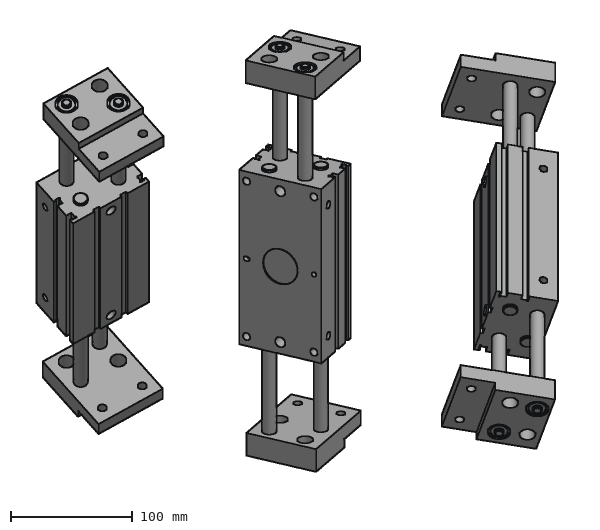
import cadquery as cq

OVERALL_HEIGHT = 366.0

HOUSING_DEPTH = 52.5
HOUSING_WIDTH = 76.0
HOUSING_HEIGHT = 160.0

SLOT_RAIL_START = 30.0
SLOT_RAIL_END = 42.5
SLOT_OPENING = 5.0
SLOT_LIP = 2.2
SLOT_UNDERCUT = 1.0
SLOT_SHALLOW_DEPTH = 5.0
SLOT_DEPTH = 6.2

BACK_GROOVE_PITCH = 27.0
BACK_GROOVE_WIDTH = 6.0
BACK_GROOVE_DEPTH = 2.2

ROD_DIAMETER = 12.0
ROD_NEAR_X = 12.5
ROD_PITCH_X = 23.5
ROD_PITCH_Y = 35.5
ROD_OFFSET_Y = 1.17
ROD_PROTRUSION = 2.2
ROD_CHAMFER = 0.55

PLATE_START_X = 1.0
PLATE_END_X = 81.0
PLATE_STEP_X = 51.5
PLATE_WIDTH = 64.5
PLATE_OFFSET_Y = 0.5
PLATE_THICKNESS = 21.0
FOOT_THICKNESS = 13.0
CLEARANCE_DIAMETER = 13.0
FOOT_HOLE_DIAMETER = 7.5
FOOT_HOLE_X = 68.8
FOOT_HOLE_PITCH = 40.0

COUNTERBORE_DIAMETER = 18.5
COUNTERBORE_DEPTH = 2.0
HEAD_DIAMETER = 14.5
HEAD_RECESS = 0.55
TIP_DIAMETER = 8.0
TIP_CHAMFER = 0.9
TIP_HEIGHT = 2.0

THROUGH_DIAMETER = 9.0
THROUGH_PITCH_Z = 138.5
CORNER_DIAMETER = 6.5
CORNER_DEPTH = 11.0
CORNER_PITCH_Y = 62.2
CORNER_PITCH_Z = 142.5
DOWEL_DIAMETER = 4.0
DOWEL_SLOT_LENGTH = 5.5
DOWEL_PITCH_Y = 62.2
DOWEL_DEPTH = 5.5
DISC_DIAMETER = 32.0
DISC_DEPTH = 1.0

PORT_DIAMETER = 6.5
PORT_DEPTH = 7.5
PORT_X = 12.5
PORT_PITCH_Z = 120.0

HALF_HEIGHT = HOUSING_HEIGHT / 2
HALF_WIDTH = HOUSING_WIDTH / 2
PLATE_TOP = OVERALL_HEIGHT / 2 - TIP_HEIGHT
PLATE_BOTTOM = PLATE_TOP - PLATE_THICKNESS
ROD_FAR_X = ROD_NEAR_X + ROD_PITCH_X
UPPER_RODS = [
    (ROD_NEAR_X, ROD_OFFSET_Y - ROD_PITCH_Y / 2),
    (ROD_FAR_X, ROD_OFFSET_Y + ROD_PITCH_Y / 2),
]
LOWER_RODS = [(x, -y) for x, y in UPPER_RODS]


def hooked_slot(edge_x, outward):
    """Slot beside the rail edge at edge_x, hooked away from the rail, cut into the -Y face."""
    lip_x = edge_x + outward * SLOT_OPENING
    hook_x = lip_x + outward * SLOT_UNDERCUT
    return (
        cq.Workplane("XY", origin=(0, -HALF_WIDTH, -HALF_HEIGHT))
        .moveTo(edge_x, 0)
        .lineTo(lip_x, 0)
        .lineTo(lip_x, SLOT_LIP)
        .lineTo(hook_x, SLOT_LIP)
        .lineTo(hook_x, SLOT_DEPTH)
        .lineTo(lip_x, SLOT_DEPTH)
        .lineTo(lip_x, SLOT_SHALLOW_DEPTH)
        .lineTo(edge_x, SLOT_SHALLOW_DEPTH)
        .close()
        .extrude(HOUSING_HEIGHT)
    )


def face_plane():
    """Workplane on the -X face: local x is +Y, local y is +Z, extrusion goes into the block."""
    return cq.Workplane(cq.Plane(origin=(0, 0, 0), xDir=(0, 1, 0), normal=(1, 0, 0)))


def side_ports():
    """Pair of blind ports in the -Y face."""
    return (
        cq.Workplane("XZ", origin=(PORT_X, -HALF_WIDTH, 0))
        .rarray(3.5, PORT_PITCH_Z, 1, 2)
        .circle(PORT_DIAMETER / 2)
        .extrude(-PORT_DEPTH)
    )


def make_housing():
    """Block with side slots, back grooves, rod bores and the holes of its faces."""
    block = cq.Workplane("XY").box(
        HOUSING_DEPTH, HOUSING_WIDTH, HOUSING_HEIGHT, centered=(False, True, True)
    )
    side_cuts = (side_ports(), hooked_slot(SLOT_RAIL_START, -1), hooked_slot(SLOT_RAIL_END, 1))
    for cut in side_cuts:
        block = block.cut(cut).cut(cut.mirror("XZ"))

    back_grooves = (
        cq.Workplane("XY", origin=(HOUSING_DEPTH, 0, 0))
        .rarray(3.5, BACK_GROOVE_PITCH, 1, 2)
        .box(2 * BACK_GROOVE_DEPTH, BACK_GROOVE_WIDTH, HOUSING_HEIGHT)
    )
    rod_bores = (
        cq.Workplane("XY", origin=(0, 0, -HALF_HEIGHT))
        .pushPoints(UPPER_RODS + LOWER_RODS)
        .circle(ROD_DIAMETER / 2)
        .extrude(HOUSING_HEIGHT)
    )
    through_holes = (
        face_plane()
        .rarray(3.5, THROUGH_PITCH_Z, 1, 2)
        .circle(THROUGH_DIAMETER / 2)
        .extrude(HOUSING_DEPTH)
    )
    corner_holes = (
        face_plane()
        .rarray(CORNER_PITCH_Y, CORNER_PITCH_Z, 2, 2)
        .circle(CORNER_DIAMETER / 2)
        .extrude(CORNER_DEPTH)
    )
    dowel_hole = (
        face_plane().center(-DOWEL_PITCH_Y / 2, 0).circle(DOWEL_DIAMETER / 2).extrude(DOWEL_DEPTH)
    )
    dowel_slot = (
        face_plane()
        .center(DOWEL_PITCH_Y / 2, 0)
        .slot2D(DOWEL_SLOT_LENGTH, DOWEL_DIAMETER)
        .extrude(DOWEL_DEPTH)
    )
    disc_recess = face_plane().circle(DISC_DIAMETER / 2).extrude(DISC_DEPTH)
    for cut in (back_grooves, rod_bores, through_holes, corner_holes, dowel_hole, dowel_slot, disc_recess):
        block = block.cut(cut)
    return block


def make_plate():
    """Stepped upper end plate with clearance for the other rods and a foot with two holes."""
    plate = (
        cq.Workplane("XZ", origin=(0, PLATE_OFFSET_Y, 0))
        .moveTo(PLATE_START_X, PLATE_BOTTOM)
        .lineTo(PLATE_END_X, PLATE_BOTTOM)
        .lineTo(PLATE_END_X, PLATE_BOTTOM + FOOT_THICKNESS)
        .lineTo(PLATE_STEP_X, PLATE_BOTTOM + FOOT_THICKNESS)
        .lineTo(PLATE_STEP_X, PLATE_TOP)
        .lineTo(PLATE_START_X, PLATE_TOP)
        .close()
        .extrude(PLATE_WIDTH / 2, both=True)
    )
    base = cq.Workplane("XY", origin=(0, 0, PLATE_BOTTOM))
    clearance_holes = (
        base.pushPoints(LOWER_RODS).circle(CLEARANCE_DIAMETER / 2).extrude(PLATE_THICKNESS)
    )
    foot_holes = (
        base.center(FOOT_HOLE_X, PLATE_OFFSET_Y)
        .rarray(3.5, FOOT_HOLE_PITCH, 1, 2)
        .circle(FOOT_HOLE_DIAMETER / 2)
        .extrude(FOOT_THICKNESS)
    )
    return plate.cut(clearance_holes).cut(foot_holes)


def make_carriage():
    """Upper end plate in one piece with its two rods, which run down through the housing."""
    carriage = make_plate()
    rod_end = -HALF_HEIGHT - ROD_PROTRUSION
    for x, y in UPPER_RODS:
        rod = (
            cq.Workplane("XY", origin=(x, y, rod_end))
            .circle(ROD_DIAMETER / 2)
            .extrude(PLATE_BOTTOM - rod_end)
            .faces("<Z")
            .chamfer(ROD_CHAMFER)
        )
        counterbore = (
            cq.Workplane("XY", origin=(x, y, PLATE_TOP))
            .circle(COUNTERBORE_DIAMETER / 2)
            .extrude(-COUNTERBORE_DEPTH)
        )
        head = (
            cq.Workplane("XY", origin=(x, y, PLATE_TOP - COUNTERBORE_DEPTH))
            .circle(HEAD_DIAMETER / 2)
            .extrude(COUNTERBORE_DEPTH - HEAD_RECESS)
        )
        tip = (
            cq.Workplane("XY", origin=(x, y, PLATE_TOP - HEAD_RECESS))
            .circle(TIP_DIAMETER / 2)
            .extrude(HEAD_RECESS + TIP_HEIGHT)
            .faces(">Z")
            .chamfer(TIP_CHAMFER)
        )
        carriage = carriage.union(rod).cut(counterbore).union(head).union(tip)
    return carriage


housing = make_housing()
upper_carriage = make_carriage()
lower_carriage = upper_carriage.rotate((0, 0, 0), (1, 0, 0), 180)

result = cq.Compound.makeCompound([housing.val(), upper_carriage.val(), lower_carriage.val()])